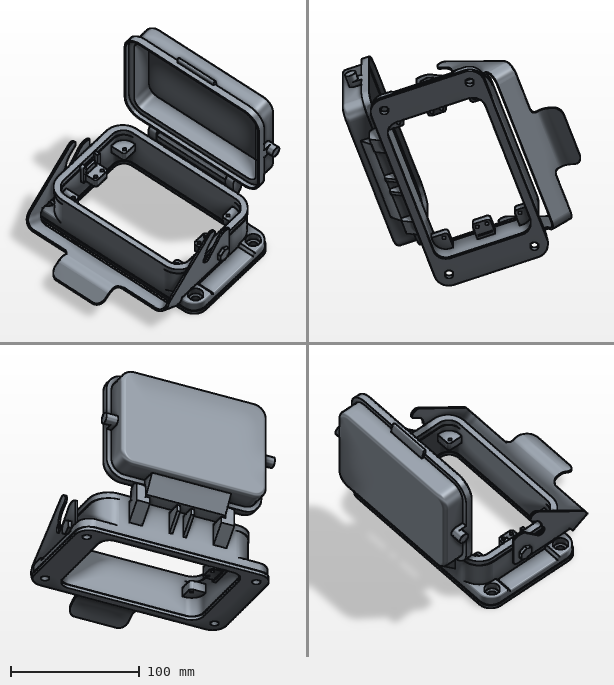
import cadquery as cq
import math

OVERLAP = 1.7

LENGTH = 167.5
FLANGE_WIDTH = 92.8
FLANGE_STEP = 0.7
FLANGE_FOOT = 3.4
FLANGE_TOP = 11.7
FLANGE_RADIUS = 11.7
FLANGE_EDGE = 1.5
CHANNEL_FLOOR = 9.2
CHANNEL_HALF_FLOOR = 24.0
CHANNEL_HALF_TOP = 26.1
SCREW_X = 74.0
SCREW_Y = 35.2
SCREW_HOLE = 6.7
SCREW_SINK = 12.0
SCREW_SINK_FLOOR = 5.4

WALL_X = 68.7
WALL_Y = FLANGE_WIDTH / 2 - FLANGE_STEP
WALL_RADIUS = 16.8
WALL_TOP = 39.9
BAND_BOTTOM = 34.7
BAND_STEP = 0.7
CAVITY_X = 62.1
CAVITY_Y = 40.5
CAVITY_RADIUS = 10.9
OPENING_INSET = 0.7

PAD_TOP = 28.1
PAD_HEIGHT = 7.9
PAD_END_X = 48.7
PAD_RADIUS = 2.5
PAD_HOLE = 2.8
PAD_HOLE_X = 52.0
CORNER_PAD_Y = 27.3
CORNER_HOLE_Y = 31.3
MIDDLE_PAD_Y = 7.4
MIDDLE_HOLE_Y = 4.0
NIB_Y = 5.5
NIB_THICKNESS = 2.3
NIB_HEIGHT = 3.9
NIB_SLOT = 1.0
CLIP_INNER_Y = 7.0
CLIP_OUTER_Y = 10.0
CLIP_X = 59.1
CLIP_TOP = 38.4
CLIP_EDGE = 1.0

LID_FRONT = 50.2
LID_RIM_BACK = 56.3
LID_BACK = 74.4
LID_RIM_X = 67.7
LID_RIM_BOTTOM = 46.9
LID_RIM_TOP = 139.7
LID_RIM_RADIUS = 15.5
LID_BODY_INSET = 4.2
LID_BODY_RADIUS = 11.4
LID_BACK_EDGE = 3.4
LID_LIP = 1.3
LID_SEAT_DEPTH = 3.9
LID_CAVITY_INSET = 6.5
LID_CAVITY_RADIUS = 8.9
LID_FLOOR = 2.2
LID_TAB_X = 18.3
LID_TAB_TOP = 143.2
LID_TAB_Y = 54.6
LID_TAB_THICKNESS = 2.7
LID_TAB_FOOT = 4.2
LID_PIN_Y = 63.5
LID_PIN_Z = 92.6
LID_PIN_RADIUS = 4.4
LID_PIN_X = 73.5

HINGE_Y = 54.0
HINGE_Z = 41.9
HINGE_RADIUS = 5.0
HINGE_PIN_RADIUS = 2.0
HINGE_X = 42.5
KNUCKLE_INNER_X = 34.8
BRACKET_INNER_X = 31.2
BRACKET_TOP = 34.7
BRACKET_SIDE = 29.5
BRACKET_FOOT = 16.2
HINGE_GAP = 0.3
RIB_INNER_X = 4.7
RIB_OUTER_X = 7.4
ARM_LID_Y = 69.0
ARM_LOW_Y = 59.5
ARM_LOW_Z = 36.3
ARM_NEAR_Y = 49.2
ARM_NEAR_BOTTOM = 35.2
ARM_NEAR_TOP = 41.4

SHEET = 1.7
LEVER_X = 70.9
LEVER_BACK_Y = 9.9
LEVER_BOTTOM = 17.3
LEVER_CORNER = 3.7
EAR_CORNER_Z = 47.4
EAR_TOP = (3.7, 49.4)
EAR_END = (-3.9, 45.0)
SLOT_START = (-14.7, 34.3)
SLOT_MIDDLE = (-20.8, 34.7)
SLOT_END = (-19.3, 40.9)
THROAT_MIDDLE = (-17.6, 47.5)
THROAT_END = (-12.5, 53.0)
HOOK_START = (-8.4, 55.8)
HOOK_MIDDLE = (-9.0, 62.3)
HOOK_END = (-14.7, 62.3)
NOSE = (-63.0, 26.5)
HEEL_Y = -47.7
PIVOT_Z = 27.6
PIVOT_RADIUS = 2.5
HEX_SIDES = 6
HEX_FLATS = 10.5
HEX_INNER_X = 71.9
HEX_OUTER_X = 74.7
YOKE_TILT = 30.0
YOKE_Y = -54.1
YOKE_Z = 6.7
YOKE_WIDTH = 17.6
YOKE_BEND = 9.5
GRIP_X = 25.3
GRIP_END_Y = -92.8
GRIP_BEND = 8.4
GRIP_CORNER = 7.0
GRIP_ROOT = 3.5
GRIP_RISE = 4.4


def block(x0, x1, y0, y1, z0, z1):
    return cq.Workplane("XY").box(x1 - x0, y1 - y0, z1 - z0, centered=False).translate((x0, y0, z0))


def rounded_block(half_x, half_y, z0, z1, radius):
    return (cq.Workplane("XY", origin=(0, 0, z0)).rect(2 * half_x, 2 * half_y)
            .extrude(z1 - z0).edges("|Z").fillet(radius))


def lid_block(inset, y0, y1, radius):
    """Upright rounded plate, inset from the rim outline and spanning y0 to y1."""
    height = LID_RIM_TOP - LID_RIM_BOTTOM - 2 * inset
    middle = (LID_RIM_TOP + LID_RIM_BOTTOM) / 2
    return (cq.Workplane("XZ", origin=(0, y0, middle)).rect(2 * (LID_RIM_X - inset), height)
            .extrude(y0 - y1).edges("|Y").fillet(radius))


def side_profile(x):
    return cq.Workplane("YZ", origin=(x, 0, 0))


def x_cylinder(y, z, radius, x0, x1):
    return side_profile(x0).center(y, z).circle(radius).extrude(x1 - x0)


def both_sides(shape):
    return shape.union(shape.mirror("YZ"))


def make_flange():
    half_x = LENGTH / 2
    half_y = FLANGE_WIDTH / 2
    flange = rounded_block(half_x - FLANGE_STEP, half_y - FLANGE_STEP, 0, FLANGE_TOP, FLANGE_RADIUS)
    channel = (side_profile(-half_x)
               .polyline([(-CHANNEL_HALF_FLOOR, CHANNEL_FLOOR), (CHANNEL_HALF_FLOOR, CHANNEL_FLOOR),
                          (CHANNEL_HALF_TOP, FLANGE_TOP), (-CHANNEL_HALF_TOP, FLANGE_TOP)])
               .close().extrude(LENGTH))
    flange = flange.cut(channel)
    flange = flange.faces("<X or >X").edges("not (|Z or <Z)").fillet(FLANGE_EDGE)
    flange = flange.union(rounded_block(half_x, half_y, 0, FLANGE_FOOT, FLANGE_RADIUS))
    screws = [(x, y) for x in (-SCREW_X, SCREW_X) for y in (-SCREW_Y, SCREW_Y)]
    holes = cq.Workplane("XY").pushPoints(screws).circle(SCREW_HOLE / 2).extrude(FLANGE_TOP)
    sinks = (cq.Workplane("XY", origin=(0, 0, SCREW_SINK_FLOOR)).pushPoints(screws)
             .circle(SCREW_SINK / 2).extrude(FLANGE_TOP))
    return flange.cut(holes).cut(sinks)


def wall_block(z0, z1):
    return rounded_block(WALL_X - BAND_STEP, WALL_Y, z0, z1, WALL_RADIUS)


def make_pads():
    """Screw pads in the four corners and at the middle of both short walls."""
    bottom = PAD_TOP - PAD_HEIGHT
    corner = block(PAD_END_X, WALL_X - OVERLAP, CORNER_PAD_Y, WALL_Y - OVERLAP, bottom, PAD_TOP)
    corner = corner.edges("|Z and <X and <Y").fillet(PAD_RADIUS)
    corner = corner.union(corner.mirror("XZ"))
    middle = block(PAD_END_X, WALL_X - OVERLAP, -MIDDLE_PAD_Y, MIDDLE_PAD_Y, bottom, PAD_TOP)
    middle = middle.edges("|Z and <X").fillet(PAD_RADIUS)
    spots = [(PAD_HOLE_X, side * y) for side in (-1, 1) for y in (CORNER_HOLE_Y, MIDDLE_HOLE_Y)]
    holes = (cq.Workplane("XY", origin=(0, 0, bottom)).pushPoints(spots)
             .circle(PAD_HOLE / 2).extrude(PAD_HEIGHT))
    nib_x = CAVITY_X - NIB_THICKNESS
    slot = block(nib_x - NIB_SLOT, nib_x, -NIB_Y, NIB_Y, bottom, PAD_TOP)
    nib = block(nib_x, WALL_X - OVERLAP, -NIB_Y, NIB_Y, PAD_TOP, PAD_TOP + NIB_HEIGHT)
    pads = both_sides(corner.union(middle).cut(holes).cut(slot).union(nib))
    return pads.intersect(wall_block(0, WALL_TOP))


def make_clip():
    """Two posts beside the middle pad of the left wall only."""
    post = block(OVERLAP - WALL_X, -CLIP_X, CLIP_INNER_Y, CLIP_OUTER_Y, PAD_TOP - PAD_HEIGHT, CLIP_TOP)
    post = post.edges(">Y and >Z").fillet(CLIP_EDGE)
    return post.union(post.mirror("XZ"))


def make_base():
    wall = wall_block(0, WALL_TOP).union(rounded_block(WALL_X, WALL_Y, BAND_BOTTOM, WALL_TOP, WALL_RADIUS))
    base = make_flange().union(wall)
    base = base.cut(rounded_block(CAVITY_X, CAVITY_Y, FLANGE_FOOT, WALL_TOP, CAVITY_RADIUS))
    base = base.cut(rounded_block(CAVITY_X + BAND_STEP, CAVITY_Y, BAND_BOTTOM, WALL_TOP, CAVITY_RADIUS))
    base = base.cut(rounded_block(CAVITY_X - OPENING_INSET, CAVITY_Y - OPENING_INSET, 0, FLANGE_TOP,
                                  CAVITY_RADIUS - OPENING_INSET))
    return base.union(make_pads()).union(make_clip())


def make_lid():
    lid = lid_block(LID_BODY_INSET, LID_FRONT, LID_BACK, LID_BODY_RADIUS)
    lid = lid.faces(">Y").edges().fillet(LID_BACK_EDGE)
    lid = lid.union(lid_block(0, LID_FRONT, LID_RIM_BACK, LID_RIM_RADIUS))
    lid = lid.cut(lid_block(LID_LIP, LID_FRONT, LID_FRONT + LID_SEAT_DEPTH, LID_RIM_RADIUS - LID_LIP))
    lid = lid.cut(lid_block(LID_CAVITY_INSET, LID_FRONT, LID_BACK - LID_FLOOR, LID_CAVITY_RADIUS))
    pin_start = LID_RIM_X - LID_BODY_INSET - OVERLAP
    pin = x_cylinder(LID_PIN_Y, LID_PIN_Z, LID_PIN_RADIUS, pin_start, LID_PIN_X)
    web = block(pin_start, LID_RIM_X, LID_RIM_BACK, LID_PIN_Y,
                LID_PIN_Z - LID_PIN_RADIUS, LID_PIN_Z + LID_PIN_RADIUS)
    tab_back = LID_TAB_Y + LID_TAB_THICKNESS
    shoulder = LID_TAB_TOP - LID_TAB_THICKNESS / 2
    body_top = LID_RIM_TOP - LID_BODY_INSET
    tab = (side_profile(-LID_TAB_X).moveTo(LID_TAB_Y, body_top).lineTo(LID_TAB_Y, shoulder)
           .threePointArc(((LID_TAB_Y + tab_back) / 2, LID_TAB_TOP), (tab_back, shoulder))
           .lineTo(LID_TAB_Y + LID_TAB_FOOT, body_top).close().extrude(2 * LID_TAB_X))
    return lid.union(both_sides(pin.union(web))).union(tab)


def make_hinge():
    """Brackets on the base, the lid's hinge arm between them and the pin."""
    near = HINGE_Y - HINGE_RADIUS
    far = HINGE_Y + HINGE_RADIUS

    def bracket(x0, x1):
        return (side_profile(x0)
                .polyline([(WALL_Y - OVERLAP, BRACKET_TOP), (far, BRACKET_TOP), (far, BRACKET_SIDE),
                           (WALL_Y, BRACKET_FOOT), (WALL_Y - OVERLAP, BRACKET_FOOT)])
                .close().extrude(x1 - x0))

    knuckle = (side_profile(KNUCKLE_INNER_X).moveTo(near, BRACKET_TOP).lineTo(near, HINGE_Z)
               .threePointArc((HINGE_Y, HINGE_Z + HINGE_RADIUS), (far, HINGE_Z))
               .lineTo(far, BRACKET_TOP).close().extrude(HINGE_X - KNUCKLE_INNER_X))
    brackets = knuckle.union(bracket(BRACKET_INNER_X, HINGE_X)).union(bracket(RIB_INNER_X, RIB_OUTER_X))
    arm_x = KNUCKLE_INNER_X - HINGE_GAP
    lid_body_bottom = LID_RIM_BOTTOM + LID_BODY_INSET
    arm = (side_profile(-arm_x)
           .polyline([(ARM_LID_Y, lid_body_bottom), (ARM_LOW_Y, ARM_LOW_Z),
                      (ARM_NEAR_Y, ARM_NEAR_BOTTOM), (ARM_NEAR_Y, ARM_NEAR_TOP),
                      (LID_RIM_BACK, LID_RIM_BOTTOM), (LID_RIM_BACK, lid_body_bottom)])
           .close().extrude(2 * arm_x))
    pin = x_cylinder(HINGE_Y, HINGE_Z, HINGE_PIN_RADIUS, -HINGE_X, HINGE_X)
    return both_sides(brackets).union(arm).union(pin)


ALONG = (-math.cos(math.radians(YOKE_TILT)), math.sin(math.radians(YOKE_TILT)))
INWARD = (ALONG[1], -ALONG[0])


def yoke_point(along, inward):
    """Y and Z of a point measured along and into the tilted cross plate."""
    return (YOKE_Y + along * ALONG[0] + inward * INWARD[0],
            YOKE_Z + along * ALONG[1] + inward * INWARD[1])


def make_side_plate():
    """Hooked side plate whose slot catches the lid's pin."""
    slant = LEVER_CORNER * (1 - math.sqrt(0.5))
    return (side_profile(LEVER_X - SHEET)
            .moveTo(LEVER_BACK_Y - LEVER_CORNER, LEVER_BOTTOM)
            .threePointArc((LEVER_BACK_Y - slant, LEVER_BOTTOM + slant),
                           (LEVER_BACK_Y, LEVER_BOTTOM + LEVER_CORNER))
            .lineTo(LEVER_BACK_Y, EAR_CORNER_Z).threePointArc(EAR_TOP, EAR_END)
            .lineTo(*SLOT_START).threePointArc(SLOT_MIDDLE, SLOT_END)
            .threePointArc(THROAT_MIDDLE, THROAT_END)
            .lineTo(*HOOK_START).threePointArc(HOOK_MIDDLE, HOOK_END)
            .lineTo(*NOSE).lineTo(*yoke_point(YOKE_WIDTH, YOKE_BEND))
            .lineTo(*yoke_point(0, YOKE_BEND)).lineTo(HEEL_Y, LEVER_BOTTOM).close().extrude(SHEET))


def make_yoke():
    plane = cq.Plane(origin=(0, YOKE_Y, YOKE_Z), xDir=(1, 0, 0), normal=(0, *ALONG))

    def channel(inset):
        half = LEVER_X - inset
        radius = YOKE_BEND - inset
        slant = radius * math.sqrt(0.5)
        return (cq.Workplane(plane).moveTo(-half, YOKE_BEND)
                .threePointArc((-half + radius - slant, YOKE_BEND - slant), (-half + radius, inset))
                .lineTo(half - radius, inset)
                .threePointArc((half - radius + slant, YOKE_BEND - slant), (half, YOKE_BEND))
                .close().extrude(YOKE_WIDTH))

    return channel(0).cut(channel(SHEET))


def make_grip():
    """Finger grip: the cross plate carried on, bent over and trimmed to its outline."""
    tilt = math.radians(YOKE_TILT)
    start = yoke_point(YOKE_WIDTH - SHEET, 0)
    bend_start = yoke_point(YOKE_WIDTH + GRIP_RISE, 0)
    center = (bend_start[0] - GRIP_BEND * math.sin(tilt), bend_start[1] - GRIP_BEND * math.cos(tilt))

    def on_bend(radius, angle):
        return (center[0] + radius * math.sin(angle), center[1] + radius * math.cos(angle))

    def at_end(radius):
        y, z = on_bend(radius, -tilt)
        end_y = GRIP_END_Y - SHEET
        return (end_y, z - (y - end_y) * math.tan(tilt))

    outer = GRIP_BEND + SHEET
    sheet = (side_profile(-LEVER_X).moveTo(*start).lineTo(*bend_start)
             .threePointArc(on_bend(GRIP_BEND, 0), on_bend(GRIP_BEND, -tilt))
             .lineTo(*at_end(GRIP_BEND)).lineTo(*at_end(outer)).lineTo(*on_bend(outer, -tilt))
             .threePointArc(on_bend(outer, 0), on_bend(outer, tilt))
             .lineTo(*yoke_point(YOKE_WIDTH - SHEET, SHEET)).close().extrude(2 * LEVER_X))
    root_y = yoke_point(YOKE_WIDTH, 0)[0]
    back_y = root_y + 2 * SHEET
    slant = 1 - math.sqrt(0.5)
    root_x = GRIP_X + GRIP_ROOT
    outline = (cq.Workplane("XY").moveTo(0, back_y).lineTo(root_x, back_y).lineTo(root_x, root_y)
               .threePointArc((GRIP_X + slant * GRIP_ROOT, root_y - slant * GRIP_ROOT),
                              (GRIP_X, root_y - GRIP_ROOT))
               .lineTo(GRIP_X, GRIP_END_Y + GRIP_CORNER)
               .threePointArc((GRIP_X - slant * GRIP_CORNER, GRIP_END_Y + slant * GRIP_CORNER),
                              (GRIP_X - GRIP_CORNER, GRIP_END_Y))
               .lineTo(0, GRIP_END_Y).close().extrude(WALL_TOP))
    return sheet.intersect(both_sides(outline))


def make_lever():
    shank = x_cylinder(0, PIVOT_Z, PIVOT_RADIUS, CAVITY_X, HEX_OUTER_X)
    head = (side_profile(HEX_INNER_X).center(0, PIVOT_Z)
            .polygon(HEX_SIDES, HEX_FLATS / math.cos(math.pi / HEX_SIDES))
            .extrude(HEX_OUTER_X - HEX_INNER_X)
            .rotate((0, 0, PIVOT_Z), (1, 0, PIVOT_Z), 180 / HEX_SIDES))
    sides = both_sides(make_side_plate().union(shank).union(head))
    return sides.union(make_yoke()).union(make_grip())


result = make_base().union(make_lid()).union(make_hinge()).union(make_lever())